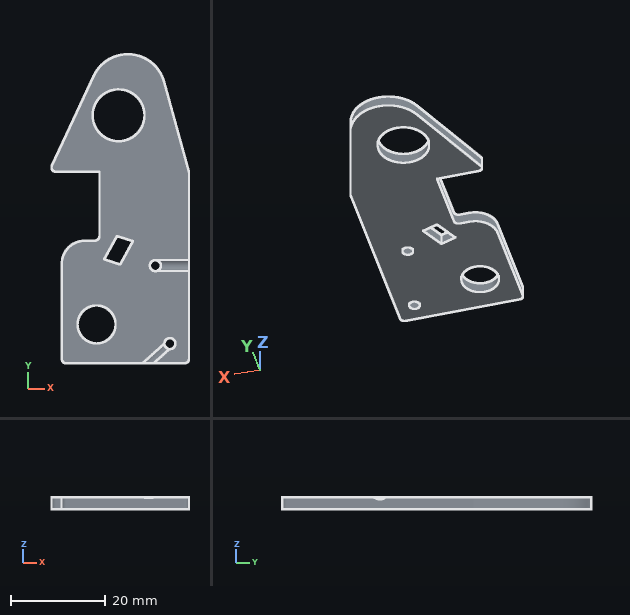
import cadquery as cq
import math

width = 29.15
length = 65.5
thickness = 2.6

body_left = 2.15
step_y = 26.0
neck_left = 10.15
hook_y = 40.5
body_corner_radius = 4.9
small_radius = 1.0
nose_radius = 8.0
nose_x = 16.2
nose_y = length - nose_radius
tip_x = small_radius
tip_y = hook_y + small_radius

large_hole = (14.2, 52.5)
large_hole_diameter = 10.95
small_hole = (9.55, 8.25)
small_hole_diameter = 8.0
window_corners = [(13.9, 26.9), (17.2, 25.85), (14.55, 20.95), (11.2, 22.05)]

wire_diameter = 2.3
side_wire_hole = (22.0, 20.7)
lower_wire_hole = (25.1, 4.2)
side_groove_angle = 0.0
lower_groove_angle = 222.0
groove_radius = 1.6
side_groove_width = wire_diameter
lower_groove_width = 1.6
groove_length = 10.5


def polar_point(x, y, radius, angle):
    """Point on a circle, with the angle in radians from +X."""
    return (x + radius * math.cos(angle), y + radius * math.sin(angle))


def make_plate():
    span = math.hypot(nose_x - tip_x, nose_y - tip_y)
    span_angle = math.atan2(nose_y - tip_y, nose_x - tip_x)
    left_normal = span_angle + math.acos((small_radius - nose_radius) / span)

    shoulder_distance = math.hypot(width - nose_x, hook_y - nose_y)
    shoulder_angle = math.atan2(hook_y - nose_y, width - nose_x)
    right_normal = shoulder_angle + math.acos(nose_radius / shoulder_distance)

    downward = 1.5 * math.pi
    tip_normal = (left_normal + downward) / 2

    plate = (
        cq.Workplane("XY")
        .moveTo(body_left, 0)
        .lineTo(width, 0)
        .lineTo(width, hook_y)
        .lineTo(*polar_point(nose_x, nose_y, nose_radius, right_normal))
        .threePointArc((nose_x, length), polar_point(nose_x, nose_y, nose_radius, left_normal))
        .lineTo(*polar_point(tip_x, tip_y, small_radius, left_normal))
        .threePointArc(polar_point(tip_x, tip_y, small_radius, tip_normal), (tip_x, hook_y))
        .lineTo(neck_left, hook_y)
        .lineTo(neck_left, step_y)
        .lineTo(body_left, step_y)
        .close()
        .extrude(thickness)
    )
    plate = round_corners(plate, [(body_left, 0), (width, 0), (neck_left, step_y)], small_radius)
    return round_corners(plate, [(body_left, step_y)], body_corner_radius)


def round_corners(plate, corners, radius):
    """Fillet the vertical edges at the given outline corners."""
    for x, y in corners:
        nearest = cq.selectors.NearestToPointSelector((x, y, thickness / 2))
        plate = plate.edges("|Z").edges(nearest).fillet(radius)
    return plate


def through_hole(center, diameter):
    return cq.Workplane("XY").center(*center).circle(diameter / 2).extrude(thickness)


def wire_groove(start, angle, width_at_top):
    """Cylinder along the top face, opening to the given width there."""
    direction = cq.Vector(math.cos(math.radians(angle)), math.sin(math.radians(angle)), 0)
    axis_height = math.sqrt(groove_radius**2 - (width_at_top / 2) ** 2)
    origin = cq.Vector(start[0], start[1], thickness + axis_height)
    return cq.Workplane(cq.Solid.makeCylinder(groove_radius, groove_length, origin, direction))


result = make_plate()
result = result.cut(through_hole(large_hole, large_hole_diameter))
result = result.cut(through_hole(small_hole, small_hole_diameter))
result = result.cut(cq.Workplane("XY").polyline(window_corners).close().extrude(thickness))

for hole, angle, width_at_top in [
    (side_wire_hole, side_groove_angle, side_groove_width),
    (lower_wire_hole, lower_groove_angle, lower_groove_width),
]:
    result = result.cut(through_hole(hole, wire_diameter))
    result = result.cut(wire_groove(hole, angle, width_at_top))